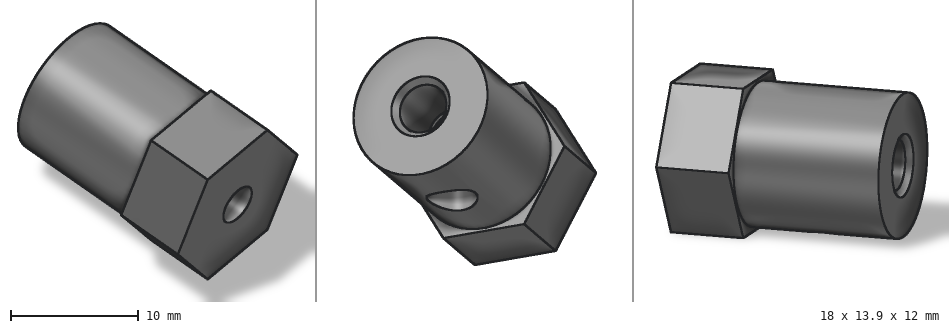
import cadquery as cq
import math

total_length = 18.0
head_length = 6.0
head_across_flats = 12.0
shank_diameter = 11.5
large_bore_diameter = 4.0
small_bore_diameter = 3.3
mouth_diameter = 5.0
cross_hole_diameter = large_bore_diameter
cross_hole_x = 6.0

shank_length = total_length - head_length
head_across_corners = head_across_flats / math.cos(math.pi / 6)
large_bore_depth = cross_hole_x
mouth_depth = (mouth_diameter - large_bore_diameter) / 2


def make_body():
    """Round shank with a hexagonal head, corners pointing along Y."""
    shank = cq.Workplane("YZ").circle(shank_diameter / 2).extrude(shank_length)
    head = (
        cq.Workplane("YZ", origin=(shank_length, 0, 0))
        .polygon(6, head_across_corners)
        .extrude(head_length)
    )
    return shank.union(head)


def make_bore():
    """Stepped axial bore with a chamfered mouth, as one revolved solid."""
    mouth_radius = mouth_diameter / 2
    large_radius = large_bore_diameter / 2
    small_radius = small_bore_diameter / 2
    return (
        cq.Workplane("XY")
        .moveTo(0, 0)
        .lineTo(0, mouth_radius)
        .lineTo(mouth_depth, large_radius)
        .lineTo(large_bore_depth, large_radius)
        .lineTo(large_bore_depth, small_radius)
        .lineTo(total_length, small_radius)
        .lineTo(total_length, 0)
        .close()
        .revolve(360, (0, 0, 0), (1, 0, 0))
    )


def make_cross_hole():
    """Radial hole from the underside of the shank to the bore axis."""
    return (
        cq.Workplane("XY", origin=(cross_hole_x, 0, 0))
        .circle(cross_hole_diameter / 2)
        .extrude(-shank_diameter / 2)
    )


result = make_body().cut(make_bore()).cut(make_cross_hole())